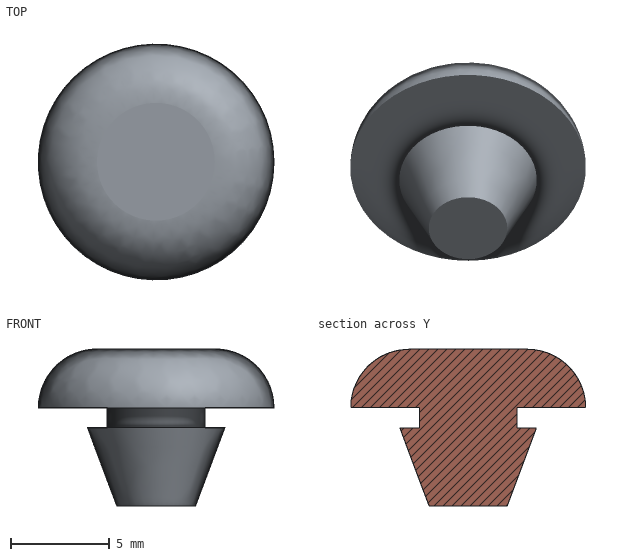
import cadquery as cq
import math


HEAD_DIAMETER = 12.0
HEAD_HEIGHT = 3.0
NECK_DIAMETER = 5.0
NECK_LENGTH = 1.0
PLUG_TOP_DIAMETER = 7.0
PLUG_TIP_DIAMETER = 4.0
PLUG_LENGTH = 4.0

head_radius = HEAD_DIAMETER / 2
neck_radius = NECK_DIAMETER / 2
plug_top_radius = PLUG_TOP_DIAMETER / 2
plug_tip_radius = PLUG_TIP_DIAMETER / 2

edge_radius = HEAD_HEIGHT
crown_radius = head_radius - edge_radius
arc_mid_offset = edge_radius * math.sqrt(0.5)

plug_top_z = -NECK_LENGTH
plug_tip_z = plug_top_z - PLUG_LENGTH


def half_profile():
    """Closed half section in the XZ plane, from the plug tip up to the crown."""
    return (
        cq.Workplane("XZ")
        .moveTo(0, plug_tip_z)
        .lineTo(plug_tip_radius, plug_tip_z)
        .lineTo(plug_top_radius, plug_top_z)
        .lineTo(neck_radius, plug_top_z)
        .lineTo(neck_radius, 0)
        .lineTo(head_radius, 0)
        .threePointArc((crown_radius + arc_mid_offset, arc_mid_offset), (crown_radius, HEAD_HEIGHT))
        .lineTo(0, HEAD_HEIGHT)
        .close()
    )


result = half_profile().revolve(360, (0, 0, 0), (0, 1, 0))